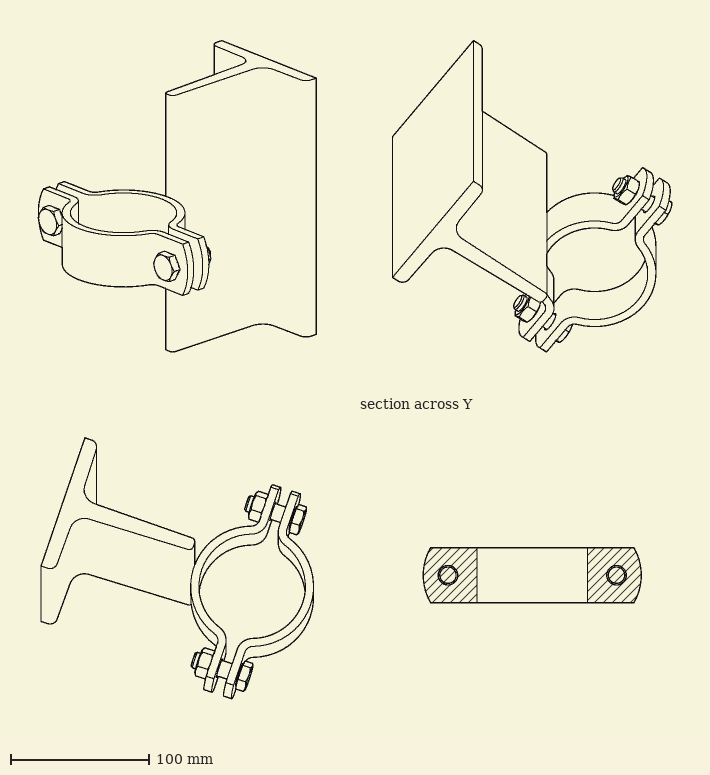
import cadquery as cq
import math

TEE_LENGTH = 200.0
TEE_WIDTH = 100.0
TEE_DEPTH = 100.0
TEE_THICKNESS = 11.0
TEE_TAPER = 0.02
ROOT_RADIUS = 11.0
FLANGE_TOE_RADIUS = 5.5
WEB_TOE_RADIUS = 3.0

STRAP_THICKNESS = 6.0
STRAP_WIDTH = 40.0
CLAMP_OUTER_RADIUS = 44.5
EAR_GAP = 9.0
EAR_SPAN = 158.0
EAR_TIP_RADIUS = 40.0
BEND_RADIUS = 6.0
BOLT_HOLE_DIAMETER = 14.0
WELD_OVERLAP = 0.03

BOLT_SPACING = 122.0
BOLT_DIAMETER = 12.0
BOLT_END_DIAMETER = 10.1
BOLT_END_CHAMFER_LENGTH = 1.35
BOLT_PROTRUSION = 14.0
HEX_ACROSS_FLATS = 19.0
HEX_CHAMFER_ANGLE = math.radians(30)
HEAD_HEIGHT = 7.5
NUT_HEIGHT = 10.0
HEAD_FACE_DIAMETER = HEX_ACROSS_FLATS
NUT_FACE_DIAMETER = 17.2
WASHER_FACE_DIAMETER = 17.2
WASHER_FACE_HEIGHT = 0.8

EAR_INNER_Y = EAR_GAP / 2
EAR_OUTER_Y = EAR_INNER_Y + STRAP_THICKNESS


def make_tee():
    """Tapered tee: web toe towards the clamp, flange at the far +Y side."""
    toe_y = CLAMP_OUTER_RADIUS - WELD_OVERLAP
    back_y = toe_y + TEE_DEPTH
    half_width = TEE_WIDTH / 2

    def web_half(y):
        return TEE_THICKNESS / 2 + TEE_TAPER * (y - toe_y - TEE_DEPTH / 2)

    def flange_underside(x):
        return back_y - TEE_THICKNESS + TEE_TAPER * (x - TEE_WIDTH / 4)

    root_x = web_half(flange_underside(0)) / (1 - TEE_TAPER**2)
    root = (root_x, flange_underside(root_x))
    web_toe = (web_half(toe_y), toe_y)
    flange_toe = (half_width, flange_underside(half_width))

    half_outline = [web_toe, root, flange_toe, (half_width, back_y)]
    mirrored = [(-x, y) for x, y in reversed(half_outline)]
    tee = (
        cq.Workplane("XY")
        .polyline(half_outline + mirrored)
        .close()
        .extrude(TEE_LENGTH / 2, both=True)
    )
    rounds = [
        (root, ROOT_RADIUS),
        (flange_toe, FLANGE_TOE_RADIUS),
        (web_toe, WEB_TOE_RADIUS),
    ]
    for (x, y), radius in rounds:
        for side in (1, -1):
            corner = cq.selectors.NearestToPointSelector((side * x, y, 0))
            tee = tee.edges("|Z").edges(corner).fillet(radius)
    return tee


def make_strap_profile():
    """Rear half strap: half ring blended into two flat ears."""
    outer = CLAMP_OUTER_RADIUS
    inner = outer - STRAP_THICKNESS
    tip_x = EAR_SPAN / 2

    bend_y = EAR_OUTER_Y + BEND_RADIUS
    bend_distance = outer + BEND_RADIUS
    bend_x = math.sqrt(bend_distance**2 - bend_y**2)
    tangent_angle = math.atan2(bend_y, bend_x)
    mid_angle = (math.pi + tangent_angle + 3 * math.pi / 2) / 2

    def on_ring(radius):
        return (radius * math.cos(tangent_angle), radius * math.sin(tangent_angle))

    def mid_bend(radius):
        return (bend_x + radius * math.cos(mid_angle), bend_y + radius * math.sin(mid_angle))

    def flip(point):
        return (-point[0], point[1])

    wide_bend = BEND_RADIUS + STRAP_THICKNESS
    return (
        cq.Workplane("XY")
        .moveTo(tip_x, EAR_OUTER_Y)
        .lineTo(bend_x, EAR_OUTER_Y)
        .threePointArc(mid_bend(BEND_RADIUS), on_ring(outer))
        .threePointArc((0, outer), flip(on_ring(outer)))
        .threePointArc(flip(mid_bend(BEND_RADIUS)), (-bend_x, EAR_OUTER_Y))
        .lineTo(-tip_x, EAR_OUTER_Y)
        .lineTo(-tip_x, EAR_INNER_Y)
        .lineTo(-bend_x, EAR_INNER_Y)
        .threePointArc(flip(mid_bend(wide_bend)), flip(on_ring(inner)))
        .threePointArc((0, inner), on_ring(inner))
        .threePointArc(mid_bend(wide_bend), (bend_x, EAR_INNER_Y))
        .lineTo(tip_x, EAR_INNER_Y)
        .close()
    )


def make_strap():
    """Rear half strap with rounded ear tips and bolt holes."""
    half_width = STRAP_WIDTH / 2
    tip_x = EAR_SPAN / 2
    tip_drop = EAR_TIP_RADIUS - math.sqrt(EAR_TIP_RADIUS**2 - half_width**2)
    corner_x = tip_x - tip_drop

    strap = make_strap_profile().extrude(half_width, both=True)
    front_outline = (
        cq.Workplane("XZ")
        .moveTo(-corner_x, -half_width)
        .lineTo(corner_x, -half_width)
        .threePointArc((tip_x, 0), (corner_x, half_width))
        .lineTo(-corner_x, half_width)
        .threePointArc((-tip_x, 0), (-corner_x, -half_width))
        .close()
        .extrude(-CLAMP_OUTER_RADIUS)
    )
    holes = (
        cq.Workplane("XZ")
        .pushPoints([(BOLT_SPACING / 2, 0), (-BOLT_SPACING / 2, 0)])
        .circle(BOLT_HOLE_DIAMETER / 2)
        .extrude(-EAR_OUTER_Y)
    )
    return strap.intersect(front_outline).cut(holes)


def turned(profile):
    """Solid of revolution about Y from (radius, y) points."""
    return cq.Workplane("XY").polyline(profile).close().revolve(360, (0, 0), (0, 1))


def make_hex(start_y, end_y):
    """Plain hexagonal prism about Y, with corners pointing along X."""
    corner_diameter = HEX_ACROSS_FLATS / math.cos(math.pi / 6)
    return (
        cq.Workplane("XZ", origin=(0, start_y, 0))
        .polygon(6, corner_diameter)
        .extrude(start_y - end_y)
    )


def chamfer_cone(face_y, base_y, face_diameter):
    """Cone widening from a round face, used to trim the corners of a hexagon."""
    face_radius = face_diameter / 2
    base_radius = face_radius + abs(base_y - face_y) / math.tan(HEX_CHAMFER_ANGLE)
    return turned([(0, face_y), (face_radius, face_y), (base_radius, base_y), (0, base_y)])


def make_fastener():
    """Bolt with its head on the front ear and its nut on the rear ear."""
    head_top = -EAR_OUTER_Y - HEAD_HEIGHT
    head_base = -EAR_OUTER_Y - WASHER_FACE_HEIGHT
    nut_base = EAR_OUTER_Y
    nut_top = nut_base + NUT_HEIGHT
    bolt_end = nut_base + BOLT_PROTRUSION

    head = make_hex(head_top, head_base).intersect(chamfer_cone(head_top, head_base, HEAD_FACE_DIAMETER))
    nut = (
        make_hex(nut_base, nut_top)
        .intersect(chamfer_cone(nut_base, nut_top, NUT_FACE_DIAMETER))
        .intersect(chamfer_cone(nut_top, nut_base, NUT_FACE_DIAMETER))
    )
    shank = turned([
        (0, head_base),
        (WASHER_FACE_DIAMETER / 2, head_base),
        (WASHER_FACE_DIAMETER / 2, -EAR_OUTER_Y),
        (BOLT_DIAMETER / 2, -EAR_OUTER_Y),
        (BOLT_DIAMETER / 2, bolt_end - BOLT_END_CHAMFER_LENGTH),
        (BOLT_END_DIAMETER / 2, bolt_end),
        (0, bolt_end),
    ])
    return head.union(shank).union(nut)


rear_strap = make_strap()
result = make_tee().union(rear_strap).union(rear_strap.mirror("XZ"))
for bolt_x in (-BOLT_SPACING / 2, BOLT_SPACING / 2):
    result = result.union(make_fastener().translate((bolt_x, 0, 0)))